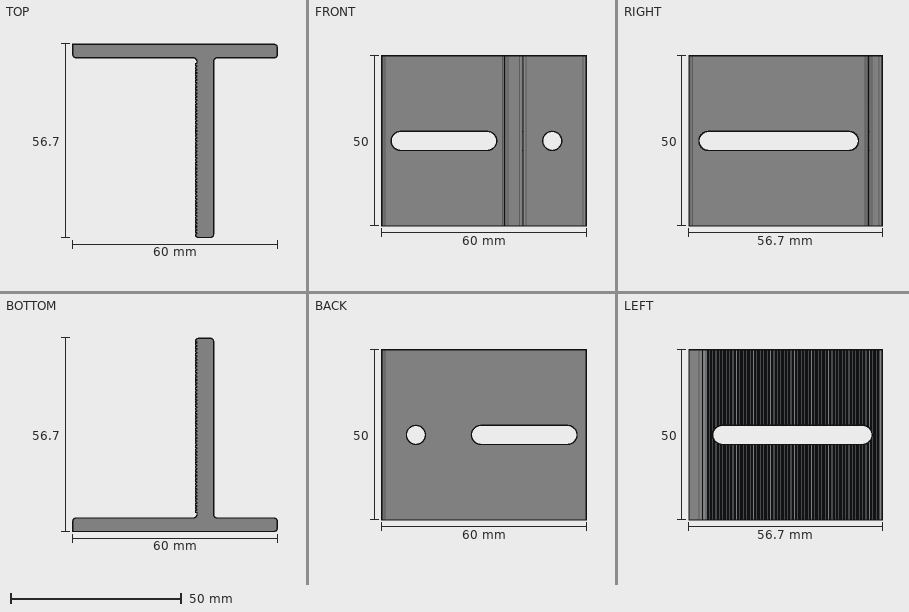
import cadquery as cq
import math

plate_width = 60
depth = 56.7
height = 50.0
plate_thickness = 4.0
stem_thickness = 5.0
stem_right = 11.35
edge_radius = plate_thickness / 4

tooth_count = 51
toothed_length = 50.0
tooth_pitch = toothed_length / (tooth_count - 1)
tooth_height = 0.4
tooth_tip_width = 0.5
tooth_base_width = 0.85

opening_width = 5.5
plate_slot_length = 30.9
plate_slot_x = -11.75
plate_hole_x = 20.0
stem_slot_length = 46.7
stem_slot_front_margin = 3

plate_left = -plate_width / 2
plate_right = plate_width / 2
back = depth / 2
front = -depth / 2
plate_front = back - plate_thickness
stem_root = stem_right - stem_thickness
stem_tip = stem_root - tooth_height
flank_run = (tooth_base_width - tooth_tip_width) / 2
last_tip_back = front + edge_radius


def make_profile():
    """T outline; the rounded front left stem corner forms the last tooth."""
    outline = (
        cq.Workplane("XY")
        .moveTo(stem_right, front)
        .lineTo(stem_right, plate_front)
        .lineTo(plate_right, plate_front)
        .lineTo(plate_right, back)
        .lineTo(plate_left, back)
        .lineTo(plate_left, plate_front)
        .lineTo(stem_root, plate_front)
    )

    for teeth_after in range(tooth_count - 1, 0, -1):
        tip_back = last_tip_back + teeth_after * tooth_pitch
        tip_front = tip_back - tooth_tip_width
        outline = (
            outline.lineTo(stem_root, tip_back + flank_run)
            .lineTo(stem_tip, tip_back)
            .lineTo(stem_tip, tip_front)
            .lineTo(stem_root, tip_front - flank_run)
        )

    arc_inset = edge_radius * (1 - math.sqrt(0.5))
    return (
        outline.lineTo(stem_root, last_tip_back + flank_run)
        .lineTo(stem_tip, last_tip_back)
        .threePointArc(
            (stem_tip + arc_inset, front + arc_inset),
            (stem_tip + edge_radius, front),
        )
        .close()
    )


def round_edges(body):
    """Round the other long edges; the back left plate edge stays sharp."""
    rounded_corners = [
        (plate_left, plate_front),
        (stem_root, plate_front),
        (stem_right, plate_front),
        (plate_right, plate_front),
        (plate_right, back),
        (stem_right, front),
    ]
    for x, y in rounded_corners:
        corner_edge = cq.selectors.NearestToPointSelector((x, y, 0))
        body = body.edges(corner_edge).fillet(edge_radius)
    return body


def make_plate_openings():
    """Slot and round hole through the plate along Y."""
    openings = (
        cq.Workplane("XZ", origin=(0, back, 0))
        .pushPoints([(plate_slot_x, 0)])
        .slot2D(plate_slot_length, opening_width)
        .pushPoints([(plate_hole_x, 0)])
        .circle(opening_width / 2)
    )
    return openings.extrude(plate_thickness)


def make_stem_slot():
    """Long slot through the serrated stem along X."""
    slot_y = front + stem_slot_front_margin + stem_slot_length / 2
    outer_face = cq.Workplane("YZ", origin=(stem_tip, slot_y, 0))
    slot = outer_face.slot2D(stem_slot_length, opening_width)
    return slot.extrude(stem_right - stem_tip)


body = round_edges(make_profile().extrude(height / 2, both=True))
result = body.cut(make_plate_openings()).cut(make_stem_slot())